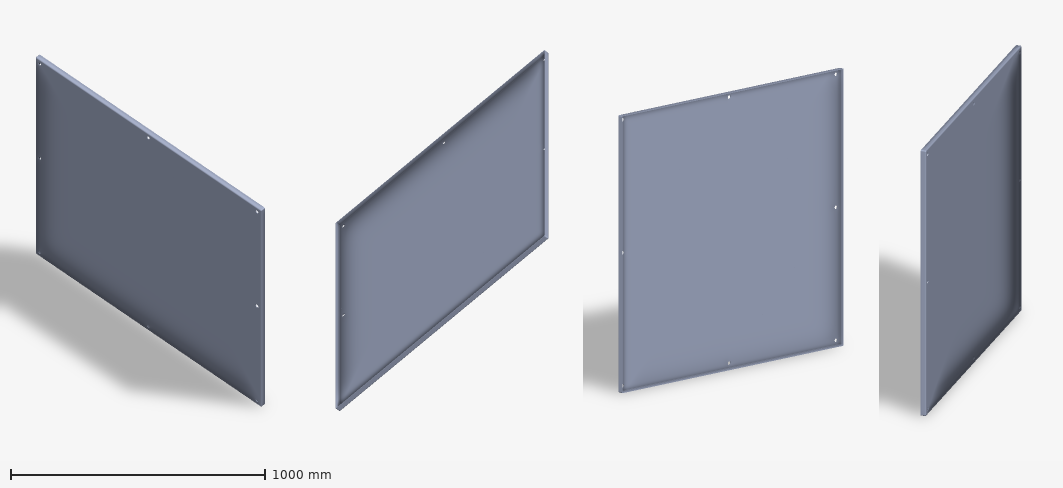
import cadquery as cq

width = 1219.0
depth = 22.0
height = 1118.0

sheet_thickness = 3.0
corner_radius = 5.0
bend_radius = 5.2

hole_diameter = 15.0
hole_inset = 23.0


def rounded_block():
    """Solid envelope with rounded corners and a rounded front rim."""
    block = cq.Workplane("XY").box(width, depth, height)
    block = block.edges("|Y").fillet(corner_radius)
    return block.faces("<Y").edges().fillet(bend_radius)


def folded_tray():
    """Front sheet with a flange of even thickness folded back on all four sides."""
    inner_width = width - 2 * sheet_thickness
    inner_height = height - 2 * sheet_thickness
    cavity = (
        cq.Workplane("XY")
        .box(inner_width, depth, inner_height)
        .translate((0, sheet_thickness, 0))
        .edges("|Y")
        .fillet(corner_radius - sheet_thickness)
        .faces("<Y")
        .edges()
        .fillet(bend_radius - sheet_thickness)
    )
    return rounded_block().cut(cavity)


def hole_positions():
    """Centres at the four corners and the middle of each side."""
    reach_x = width / 2 - hole_inset
    reach_z = height / 2 - hole_inset
    return [
        (column * reach_x, row * reach_z)
        for column in (-1, 0, 1)
        for row in (-1, 0, 1)
        if (column, row) != (0, 0)
    ]


def mounting_holes():
    """Cylinders that pass through the front sheet."""
    return (
        cq.Workplane("XZ")
        .pushPoints(hole_positions())
        .circle(hole_diameter / 2)
        .extrude(depth, both=True)
    )


result = folded_tray().cut(mounting_holes())